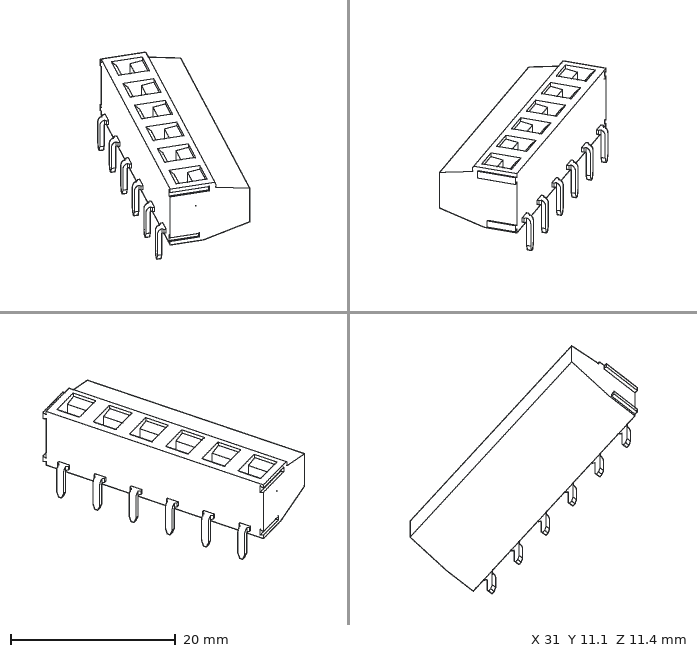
import cadquery as cq

poles = 6
pitch = 5.08
housing_length = poles * pitch
housing_depth = 10.07
housing_height = 8.1
back_bottom = 1.58
back_top = 6.45
underside_flat = 4.25
step_depth = 5.75
step_foot = 7.35
step_radius = 0.3

rail_reach = 0.45
rail_flare = 0.15
rails = [
    (0.37, 1.2, 3.72),
    (6.82, 7.75, 4.95),
]

pip_size = 0.05
pip_reach = 0.03
pip_y = 3.25
pip_z = 5.15

entry_width = 3.15
entry_front = 1.02
entry_back = 4.93
funnel_depth = 0.65
funnel_side_inset = 0.1
funnel_front_inset = 0.65
pocket_depth = 4.95
clamp_depth = 1.58
clamp_back_drop = 0.45
clamp_front_drop = funnel_depth

pin_width = 0.95
pin_thickness = 0.55
pin_reach = 1.02
pin_top = 1.2
pin_bottom = -3.3
bend_inner_radius = 0.2
root_width = 1.52
tip_height = 0.75
tip_width = 0.4


def make_housing():
    side = (
        cq.Workplane("YZ")
        .lineTo(underside_flat, 0)
        .lineTo(housing_depth, back_bottom)
        .lineTo(housing_depth, back_top)
        .lineTo(step_depth, step_foot)
        .lineTo(step_depth, housing_height - step_radius)
        .radiusArc((step_depth - step_radius, housing_height), -step_radius)
        .lineTo(0, housing_height)
        .close()
    )
    return side.extrude(housing_length)


def make_dovetail(root_x, bottom, top, depth):
    """Dovetail bar running back from the front face, wide at its -X side."""
    return (
        cq.Workplane("XZ")
        .moveTo(root_x, bottom + rail_flare)
        .lineTo(root_x - rail_reach, bottom)
        .lineTo(root_x - rail_reach, top)
        .lineTo(root_x, top - rail_flare)
        .close()
        .extrude(-depth)
    )


def make_pip():
    return (
        cq.Workplane("YZ", origin=(housing_length, pip_y, pip_z))
        .rect(pip_size, pip_size)
        .extrude(pip_reach)
    )


def make_entry(center_x):
    """Pocket with a funnel mouth, less the clamp block standing against its back wall."""
    mouth = (
        cq.Workplane("XY", origin=(center_x, 0, housing_height))
        .moveTo(0, (entry_front + entry_back) / 2)
        .rect(entry_width, entry_back - entry_front)
    )
    shaft_width = entry_width - 2 * funnel_side_inset
    shaft_front = entry_front + funnel_front_inset
    shaft_center = (shaft_front + entry_back) / 2
    funnel = (
        mouth.workplane(offset=-funnel_depth, origin=(center_x, 0, housing_height))
        .moveTo(0, shaft_center)
        .rect(shaft_width, entry_back - shaft_front)
        .loft(ruled=True)
    )
    shaft = (
        cq.Workplane("XY", origin=(center_x, shaft_center, housing_height - pocket_depth))
        .rect(shaft_width, entry_back - shaft_front)
        .extrude(pocket_depth - funnel_depth)
    )
    clamp = (
        cq.Workplane("YZ", origin=(center_x, 0, housing_height))
        .moveTo(entry_back, -pocket_depth)
        .lineTo(entry_back, -clamp_back_drop)
        .lineTo(entry_back - clamp_depth, -clamp_front_drop)
        .lineTo(entry_back - clamp_depth, -pocket_depth)
        .close()
        .extrude(entry_width / 2, both=True)
    )
    return funnel.union(shaft).cut(clamp)


def make_pin(center_x):
    """Bent strip, trimmed to its plan outline at the root and to its pointed tip below."""
    underside_z = pin_top - pin_thickness
    back_y = pin_thickness - pin_reach
    bend_y = back_y + bend_inner_radius
    bend_z = underside_z - bend_inner_radius
    bend_outer_radius = bend_inner_radius + pin_thickness
    strip = (
        cq.Workplane("YZ", origin=(center_x, 0, 0))
        .moveTo(0, pin_top)
        .lineTo(bend_y, pin_top)
        .radiusArc((-pin_reach, bend_z), -bend_outer_radius)
        .lineTo(-pin_reach, pin_bottom)
        .lineTo(back_y, pin_bottom)
        .lineTo(back_y, bend_z)
        .radiusArc((bend_y, underside_z), bend_inner_radius)
        .lineTo(0, underside_z)
        .close()
        .extrude(root_width / 2, both=True)
    )
    plan = (
        cq.Workplane("XY", origin=(center_x, 0, pin_bottom))
        .lineTo(root_width / 2, 0)
        .lineTo(root_width / 2, bend_y)
        .lineTo(pin_width / 2, back_y)
        .lineTo(pin_width / 2, -pin_reach)
        .lineTo(0, -pin_reach)
        .mirrorY()
        .extrude(pin_top - pin_bottom)
    )
    tip_top = pin_bottom + tip_height
    front = (
        cq.Workplane("XZ", origin=(center_x, 0, 0))
        .moveTo(0, pin_bottom)
        .lineTo(tip_width / 2, pin_bottom)
        .lineTo(pin_width / 2, tip_top)
        .lineTo(root_width / 2, tip_top)
        .lineTo(root_width / 2, pin_top)
        .lineTo(0, pin_top)
        .mirrorY()
        .extrude(pin_reach)
    )
    return strip.intersect(plan).intersect(front)


result = make_housing().union(make_pip())
for bottom, top, depth in rails:
    result = result.union(make_dovetail(0, bottom, top, depth))
    result = result.cut(make_dovetail(housing_length, bottom, top, depth))
for pole in range(poles):
    pole_x = (pole + 0.5) * pitch
    result = result.cut(make_entry(pole_x)).union(make_pin(pole_x))